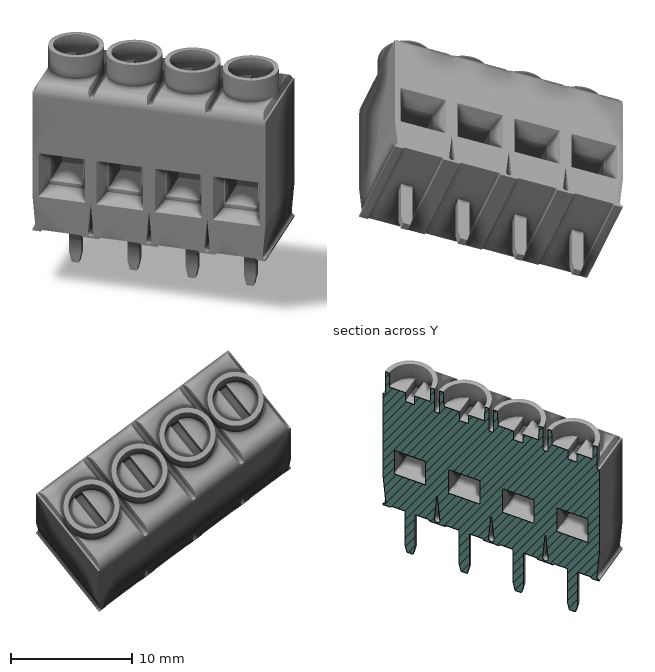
import cadquery as cq
import math

pole_count = 4
pitch = 5.0
length = pole_count * pitch
depth = 8.5
housing_height = 13.45
top_edge_radius = 1.0

groove_depth = 0.6
groove_floor_width = 0.3
groove_top_width = 0.75

collar_diameter = 4.6
collar_height = 2.0
bore_top_diameter = 3.8
bore_floor_diameter = 3.7
bore_depth = 1.6
slot_width = 0.8
slot_depth = 1.0

entry_size = 4.0
entry_bottom = 3.2
funnel_inset = 0.5
funnel_depth = 1.5
clamp_width = 2.85
clamp_bottom = 4.05
clamp_top = entry_bottom + entry_size - funnel_inset
clamp_depth = 3.5

relief_top = 3.2
relief_radius = 0.24
relief_bottom = 0.2

foot_half_width = 0.72
foot_chamfer = 0.1
recess_height = 0.15

pin_length = 4.5
pin_width = 1.0
pin_thickness = 0.65
pin_tip_width = 0.6
pin_tip_length = 0.85

front_y = -depth / 2
pole_centres = [(i - (pole_count - 1) / 2) * pitch for i in range(pole_count)]
pole_boundaries = [i * pitch - length / 2 for i in range(pole_count + 1)]


def through_y(profile):
    """Extrude an XZ profile over the full depth of the housing."""
    return profile.extrude(depth / 2, both=True)


def housing_block():
    block = cq.Workplane("XY").box(length, depth, housing_height, centered=(True, True, False))
    return block.edges("|X and >Z").fillet(top_edge_radius)


def top_groove(x):
    floor_z = housing_height - groove_depth
    profile = cq.Workplane("XZ").polyline([
        (x - groove_floor_width / 2, floor_z),
        (x + groove_floor_width / 2, floor_z),
        (x + groove_top_width / 2, housing_height),
        (x - groove_top_width / 2, housing_height),
    ]).close()
    return through_y(profile)


def relief_slot(x):
    """Teardrop slot: a round bottom with two straight sides tangent to it, meeting at the tip."""
    centre_z = relief_bottom + relief_radius
    tangent_angle = math.asin(relief_radius / (relief_top - centre_z))
    tangent_x = relief_radius * math.cos(tangent_angle)
    tangent_z = centre_z + relief_radius * math.sin(tangent_angle)
    profile = (
        cq.Workplane("XZ")
        .moveTo(x, relief_top)
        .lineTo(x - tangent_x, tangent_z)
        .threePointArc((x, relief_bottom), (x + tangent_x, tangent_z))
        .close()
    )
    return through_y(profile)


def underside_recess(x):
    half_top = pitch / 2 - foot_half_width - foot_chamfer
    half_bottom = pitch / 2 - foot_half_width
    profile = cq.Workplane("XZ").polyline([
        (x - half_bottom, 0),
        (x + half_bottom, 0),
        (x + half_top, recess_height),
        (x - half_top, recess_height),
    ]).close()
    return through_y(profile)


def wire_entry(x):
    """Square funnel narrowing inwards, then a smaller blind clamp cavity."""
    inner_size = entry_size - 2 * funnel_inset
    front_plane = cq.Plane(
        origin=(x, front_y, entry_bottom + entry_size / 2),
        xDir=(1, 0, 0),
        normal=(0, -1, 0),
    )
    funnel = (
        cq.Workplane(front_plane)
        .rect(entry_size, entry_size)
        .workplane(offset=-funnel_depth)
        .rect(inner_size, inner_size)
        .loft(ruled=True)
    )
    clamp = (
        cq.Workplane("XY")
        .box(clamp_width, clamp_depth, clamp_top - clamp_bottom, centered=(True, False, False))
        .translate((x, front_y + funnel_depth, clamp_bottom))
    )
    return funnel.union(clamp)


def collar(x):
    base_z = housing_height - groove_depth
    return (
        cq.Workplane("XY", origin=(x, 0, base_z))
        .circle(collar_diameter / 2)
        .extrude(groove_depth + collar_height)
    )


def screw_recess(x):
    """Slightly conical bore with a screwdriver slot running along Y in its floor."""
    top_z = housing_height + collar_height
    floor_z = top_z - bore_depth
    bore = (
        cq.Workplane("XY", origin=(x, 0, floor_z))
        .circle(bore_floor_diameter / 2)
        .workplane(offset=bore_depth)
        .circle(bore_top_diameter / 2)
        .loft()
    )
    slot_blank = (
        cq.Workplane("XY", origin=(x, 0, floor_z - slot_depth))
        .circle(bore_floor_diameter / 2)
        .extrude(slot_depth)
    )
    slot_band = (
        cq.Workplane("XY", origin=(x, 0, floor_z - slot_depth))
        .rect(slot_width, bore_top_diameter)
        .extrude(slot_depth)
    )
    return bore.union(slot_blank.intersect(slot_band))


def solder_pin(x):
    shoulder_z = pin_tip_length - pin_length
    return (
        cq.Workplane("XZ")
        .polyline([
            (x - pin_width / 2, recess_height),
            (x - pin_width / 2, shoulder_z),
            (x - pin_tip_width / 2, -pin_length),
            (x + pin_tip_width / 2, -pin_length),
            (x + pin_width / 2, shoulder_z),
            (x + pin_width / 2, recess_height),
        ])
        .close()
        .extrude(pin_thickness / 2, both=True)
    )


result = housing_block()

for boundary_x in pole_boundaries:
    result = result.cut(top_groove(boundary_x))
    result = result.cut(relief_slot(boundary_x))

for centre_x in pole_centres:
    result = result.cut(underside_recess(centre_x))
    result = result.cut(wire_entry(centre_x))
    result = result.union(collar(centre_x))
    result = result.cut(screw_recess(centre_x))
    result = result.union(solder_pin(centre_x))